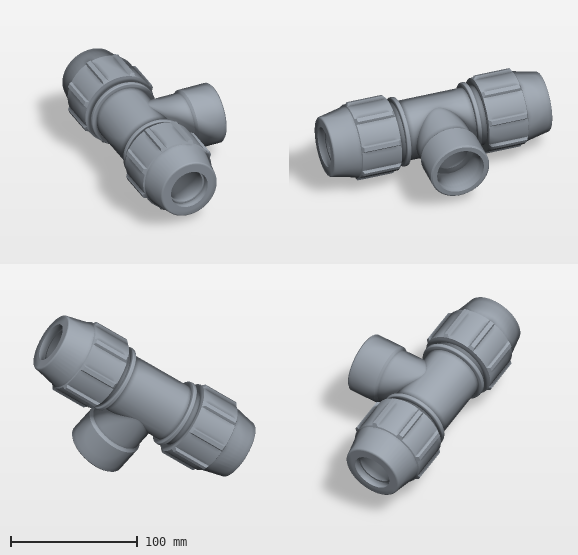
import cadquery as cq
import math

RUN_HALF_LENGTH = 91.0
RUN_RADIUS = 48.0 / 2
RUN_BORE_RADIUS = 28.8 / 2

ENTRY_RADIUS = 32.0 / 2
ENTRY_DEPTH = 6.0

NOSE_TIP_RADIUS = 24.1
NOSE_BASE_RADIUS = 28.7
NOSE_LENGTH = 21.5
NOSE_HOLLOW = 0.15
NOSE_EDGE_RADIUS = 1.4
COLLAR_RADIUS = 29.8
COLLAR_LENGTH = 33.0
SHOULDER_LENGTH = 0.6

RIB_COUNT = 8
RIB_PITCH_ANGLE = 360.0 / RIB_COUNT
RIB_FIRST_ANGLE = RIB_PITCH_ANGLE / 2
RIB_BASE_WIDTH = 5.4
RIB_TOP_WIDTH = 3.4
RIB_BASE_RADIUS = math.sqrt(COLLAR_RADIUS**2 - (RIB_BASE_WIDTH / 2) ** 2)
RIB_REACH = 60.22 / 2
RIB_END_TAPER = 2.0
RIB_TOP_RADIUS = (
    RIB_REACH - RIB_TOP_WIDTH / 2 * math.sin(math.radians(RIB_FIRST_ANGLE))
) / math.cos(math.radians(RIB_FIRST_ANGLE))

FLANGE_RADIUS = 55.68 / 2
FLANGE_INNER_X = 27.8
FLANGE_WIDTH = 3.4
FLANGE_EDGE_RADIUS = 0.8

BRANCH_END_Y = 65.0
NECK_RADIUS = 44.8 / 2
SOCKET_RADIUS = 48.69 / 2
SOCKET_LENGTH = 27.1
SOCKET_TAPER_LENGTH = 2.3
SOCKET_EDGE_CHAMFER = 1.2
THREAD_BORE_RADIUS = 38.95 / 2
THREAD_DEPTH = SOCKET_LENGTH - SOCKET_TAPER_LENGTH

NOSE_BASE_X = RUN_HALF_LENGTH - NOSE_LENGTH
COLLAR_END_X = NOSE_BASE_X - COLLAR_LENGTH


def cylinder_x(radius, start_x, end_x):
    """Cylinder on the run axis between two X positions."""
    return cq.Workplane("YZ", origin=(start_x, 0, 0)).circle(radius).extrude(end_x - start_x)


def cylinder_y(radius, start_y, end_y):
    """Cylinder on the branch axis between two Y positions."""
    plane = cq.Plane(origin=(0, start_y, 0), xDir=(1, 0, 0), normal=(0, 1, 0))
    return cq.Workplane(plane).circle(radius).extrude(end_y - start_y)


def make_nose():
    """Slightly hollow tapered nose with a rounded outer edge."""
    middle = (
        (NOSE_BASE_X + RUN_HALF_LENGTH) / 2,
        (NOSE_BASE_RADIUS + NOSE_TIP_RADIUS) / 2 - NOSE_HOLLOW,
    )
    nose = (
        cq.Workplane("XY")
        .moveTo(NOSE_BASE_X, 0)
        .lineTo(NOSE_BASE_X, NOSE_BASE_RADIUS)
        .threePointArc(middle, (RUN_HALF_LENGTH, NOSE_TIP_RADIUS))
        .lineTo(RUN_HALF_LENGTH, 0)
        .close()
        .revolve(360, (0, 0, 0), (1, 0, 0))
    )
    return nose.faces(">X").edges().fillet(NOSE_EDGE_RADIUS)


def make_collar_envelope():
    """Round body that bounds collar and ribs: steep shoulder cone outside, gentler cone inside."""
    corner_radius = math.hypot(RIB_TOP_RADIUS, RIB_TOP_WIDTH / 2)
    shoulder_slope = SHOULDER_LENGTH / (COLLAR_RADIUS - NOSE_BASE_RADIUS)
    corner_x = NOSE_BASE_X - shoulder_slope * (corner_radius - NOSE_BASE_RADIUS)
    return (
        cq.Workplane("XY")
        .moveTo(COLLAR_END_X, 0)
        .lineTo(COLLAR_END_X, COLLAR_RADIUS)
        .lineTo(COLLAR_END_X + RIB_END_TAPER, corner_radius)
        .lineTo(corner_x, corner_radius)
        .lineTo(NOSE_BASE_X, NOSE_BASE_RADIUS)
        .lineTo(NOSE_BASE_X, 0)
        .close()
        .revolve(360, (0, 0, 0), (1, 0, 0))
    )


def make_rib():
    """Flat-topped grip rib pointing up, as long as the collar."""
    return (
        cq.Workplane("YZ", origin=(COLLAR_END_X, 0, 0))
        .moveTo(-RIB_BASE_WIDTH / 2, RUN_RADIUS)
        .lineTo(RIB_BASE_WIDTH / 2, RUN_RADIUS)
        .lineTo(RIB_BASE_WIDTH / 2, RIB_BASE_RADIUS)
        .lineTo(RIB_TOP_WIDTH / 2, RIB_TOP_RADIUS)
        .lineTo(-RIB_TOP_WIDTH / 2, RIB_TOP_RADIUS)
        .lineTo(-RIB_BASE_WIDTH / 2, RIB_BASE_RADIUS)
        .close()
        .extrude(COLLAR_LENGTH)
    )


def make_nut():
    """Clamping nut on the +X end; the envelope slopes the ends of the collar and its ribs."""
    collar = cylinder_x(COLLAR_RADIUS, COLLAR_END_X, NOSE_BASE_X)
    rib = make_rib()
    for index in range(RIB_COUNT):
        angle = RIB_FIRST_ANGLE + index * RIB_PITCH_ANGLE
        collar = collar.union(rib.rotate((0, 0, 0), (1, 0, 0), angle))
    return collar.intersect(make_collar_envelope()).union(make_nose())


def make_flange():
    """Stop flange with rounded rims on the +X half of the run."""
    flange = cylinder_x(FLANGE_RADIUS, FLANGE_INNER_X, FLANGE_INNER_X + FLANGE_WIDTH)
    return flange.edges().fillet(FLANGE_EDGE_RADIUS)


def make_branch():
    """Solid branch: neck, then a socket that widens over a short cone."""
    socket_start_y = BRANCH_END_Y - SOCKET_LENGTH
    return (
        cq.Workplane("XY")
        .moveTo(0, 0)
        .lineTo(NECK_RADIUS, 0)
        .lineTo(NECK_RADIUS, socket_start_y)
        .lineTo(SOCKET_RADIUS, socket_start_y + SOCKET_TAPER_LENGTH)
        .lineTo(SOCKET_RADIUS, BRANCH_END_Y - SOCKET_EDGE_CHAMFER)
        .lineTo(SOCKET_RADIUS - SOCKET_EDGE_CHAMFER, BRANCH_END_Y)
        .lineTo(0, BRANCH_END_Y)
        .close()
        .revolve(360, (0, 0, 0), (0, 1, 0))
    )


def on_both_ends(shape):
    """The shape together with its mirror image across X = 0."""
    return [shape, shape.mirror("YZ")]


body = cylinder_x(RUN_RADIUS, -NOSE_BASE_X, NOSE_BASE_X).union(make_branch())
for end_feature in on_both_ends(make_nut()) + on_both_ends(make_flange()):
    body = body.union(end_feature)

body = body.cut(cylinder_x(RUN_BORE_RADIUS, -RUN_HALF_LENGTH, RUN_HALF_LENGTH))
for entry in on_both_ends(cylinder_x(ENTRY_RADIUS, RUN_HALF_LENGTH - ENTRY_DEPTH, RUN_HALF_LENGTH)):
    body = body.cut(entry)

body = body.cut(cylinder_y(RUN_BORE_RADIUS, 0, BRANCH_END_Y))
result = body.cut(cylinder_y(THREAD_BORE_RADIUS, BRANCH_END_Y - THREAD_DEPTH, BRANCH_END_Y))